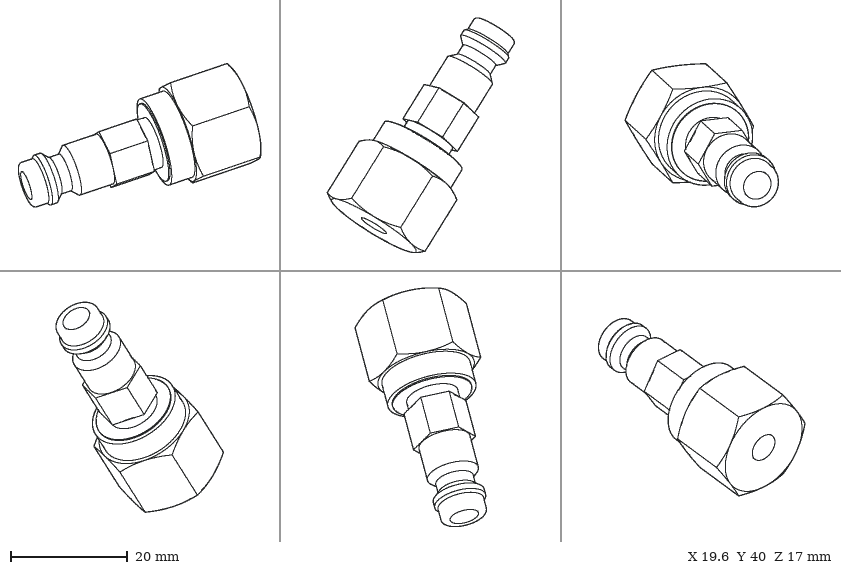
import cadquery as cq
import math

total_length = 40.0
nut_flats = 17.0
nut_length = 12.0
grip_far_flat = 4.9
grip_near_flat = 4.6
grip_length = 7.0
bore_diameter = 5.0
chamfer_angle = math.radians(30)

collar_radius = 7.8
collar_length = 4.3
lip_radius = 7.0
lip_length = 0.25
stem_radius = 4.5
groove_radius = 3.3
tip_radius = 4.05
tip_fillet = 0.55

tip_end = -total_length / 2
nut_back = total_length / 2
nut_front = nut_back - nut_length
collar_front = nut_front - collar_length
lip_front = collar_front - lip_length
grip_front = tip_end + 14.5
bead_front = tip_end + 3.0
tip_back = tip_end + 2.5
bead_back = tip_end + 4.1
groove_front = tip_end + 5.3
groove_back = tip_end + 7.15
stem_front = tip_end + 8.35


def revolve_about_y(outline):
    """Revolve (radius, y) points around the Y axis."""
    return cq.Workplane("XY").polyline(outline).close().revolve(360, (0, 0, 0), (0, 1, 0))


def hex_prism(upper_flat, lower_flat, start, length):
    """Hexagon along Y with horizontal top and bottom flats.

    Flats alternate between two distances from the axis, starting with the top one;
    each corner is where two neighbouring flats meet.
    """
    corners = []
    for index in range(6):
        flat_angle = math.pi / 2 + index * math.pi / 3
        if index % 2 == 0:
            flat, next_flat = upper_flat, lower_flat
        else:
            flat, next_flat = lower_flat, upper_flat
        along = (next_flat - flat * math.cos(math.pi / 3)) / math.sin(math.pi / 3)
        corners.append((
            flat * math.cos(flat_angle) - along * math.sin(flat_angle),
            flat * math.sin(flat_angle) + along * math.cos(flat_angle),
        ))
    plane = cq.Workplane("XZ", origin=(0, start, 0))
    return plane.polyline(corners).close().extrude(-length)


def chamfered_nut():
    """Large hexagon with its corners turned down by a cone at both ends."""
    flat_radius = nut_flats / 2
    corner_radius = flat_radius / math.cos(math.pi / 6)
    chamfer_length = (corner_radius - flat_radius) * math.tan(chamfer_angle)
    envelope = revolve_about_y([
        (0, nut_front),
        (flat_radius, nut_front),
        (corner_radius, nut_front + chamfer_length),
        (corner_radius, nut_back - chamfer_length),
        (flat_radius, nut_back),
        (0, nut_back),
    ])
    return hex_prism(flat_radius, flat_radius, nut_front, nut_length).intersect(envelope)


def turned_body():
    """Rounded plug tip, locking groove, stem, lip and collar."""
    body = revolve_about_y([
        (0, tip_end),
        (tip_radius, tip_end),
        (tip_radius, tip_back),
        (stem_radius, bead_front),
        (stem_radius, bead_back),
        (groove_radius, groove_front),
        (groove_radius, groove_back),
        (stem_radius, stem_front),
        (stem_radius, lip_front),
        (lip_radius, lip_front),
        (lip_radius, collar_front),
        (collar_radius, collar_front),
        (collar_radius, nut_front),
        (0, nut_front),
    ])
    return body.faces("<Y").edges().fillet(tip_fillet)


grip = hex_prism(grip_far_flat, grip_near_flat, grip_front, grip_length)
bore = cq.Workplane("XZ", origin=(0, tip_end, 0)).circle(bore_diameter / 2).extrude(-total_length)

result = turned_body().union(chamfered_nut()).union(grip).cut(bore)